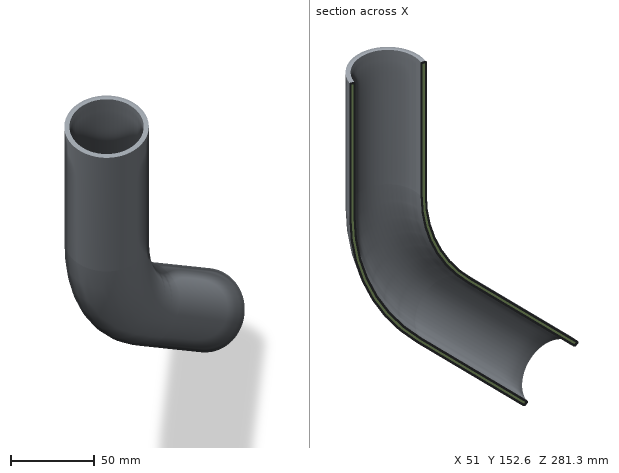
import cadquery as cq
import math

outer_diameter = 51.0
inner_diameter = 44.7
leg_length = 101.2
bend_radius = 128.0
bend_angle = 45.0


def bend_point(angle):
    """Centreline point (y, z) after turning through angle degrees from the upper leg."""
    turn = math.radians(angle)
    return (bend_radius * (1 - math.cos(turn)), -bend_radius * math.sin(turn))


bend_middle = bend_point(bend_angle / 2)
bend_end = bend_point(bend_angle)
slope = math.radians(bend_angle)
lower_end = (
    bend_end[0] + leg_length * math.sin(slope),
    bend_end[1] - leg_length * math.cos(slope),
)
centreline = (
    cq.Workplane("YZ")
    .moveTo(0, leg_length)
    .lineTo(0, 0)
    .threePointArc(bend_middle, bend_end)
    .lineTo(*lower_end)
)

result = (
    cq.Workplane("XY", origin=(0, 0, leg_length))
    .circle(outer_diameter / 2)
    .circle(inner_diameter / 2)
    .sweep(centreline)
)